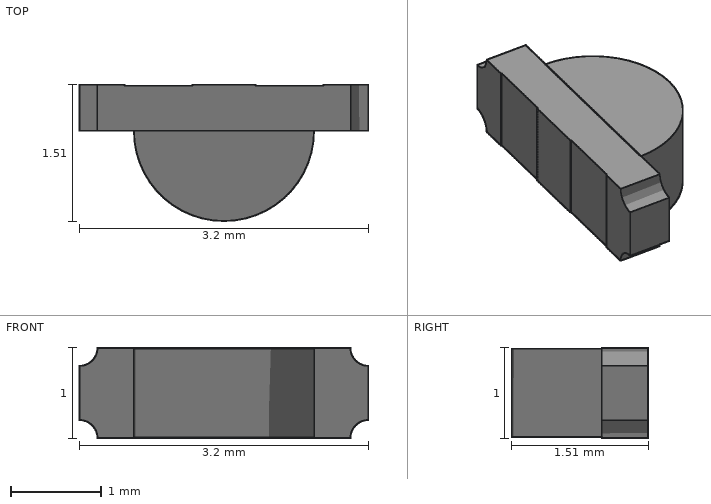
import cadquery as cq

length = 3.2
height = 1.0
board_thickness = 0.502
corner_radius = 0.2

pad_thickness = 0.01
end_pad_width = 0.5
center_pad_width = 0.7

lens_radius = 1.0
lens_height = 0.98

back_y = board_thickness + pad_thickness


def block(width, y_start, y_end):
    """Full-height block centered in X and Z."""
    depth = y_end - y_start
    return cq.Workplane("XY").box(width, depth, height).translate((0, y_start + depth / 2, 0))


def make_board():
    board = block(length, 0, board_thickness)
    pad_offset = (length - end_pad_width) / 2
    for width, x in (
        (end_pad_width, -pad_offset),
        (center_pad_width, 0),
        (end_pad_width, pad_offset),
    ):
        pad = block(width, board_thickness, back_y).translate((x, 0, 0))
        board = board.union(pad)
    return board


def make_corner_notches():
    """Quarter-round notches running through the board and its pads."""
    return (
        cq.Workplane("XZ")
        .rect(length, height, forConstruction=True)
        .vertices()
        .circle(corner_radius)
        .extrude(-back_y)
    )


def make_lens():
    return (
        cq.Workplane("XY", origin=(0, 0, -lens_height / 2))
        .moveTo(-lens_radius, 0)
        .threePointArc((0, -lens_radius), (lens_radius, 0))
        .close()
        .extrude(lens_height)
    )


result = make_board().cut(make_corner_notches()).union(make_lens())